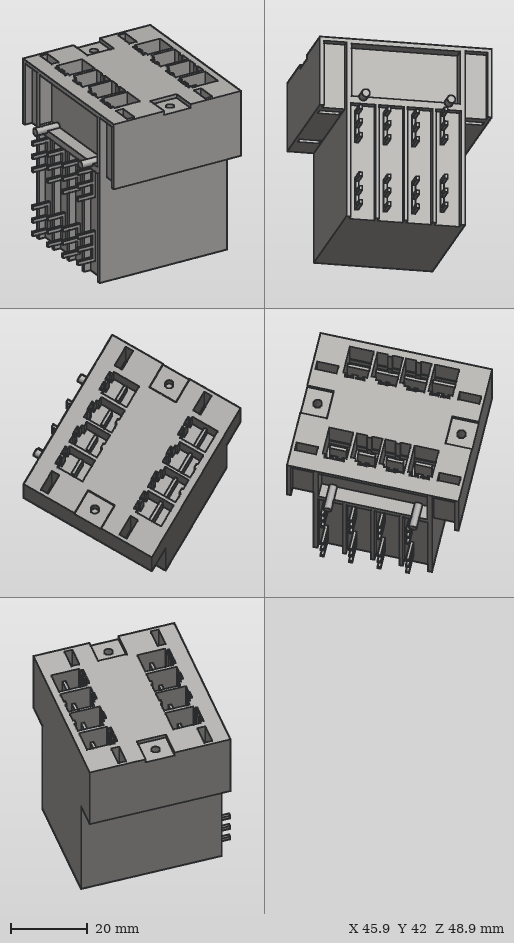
import cadquery as cq

HEIGHT = 48.9
HEAD_WIDTH = 45.85
HEAD_HEIGHT = 18.8
BODY_WIDTH = 31.7
DEPTH = 38.7
FRONT = -DEPTH / 2
REAR = DEPTH / 2
HEAD_BOTTOM = HEIGHT - HEAD_HEIGHT

POLE_COUNT = 4
OUTER_POLE_SPACING = 22.8
POLE_PITCH = OUTER_POLE_SPACING / (POLE_COUNT - 1)
POLE_CENTRES = [i * POLE_PITCH - OUTER_POLE_SPACING / 2 for i in range(POLE_COUNT)]
INNER_POLES = (1, 2)
RAISED_POLE = 3
RAISED_POLE_LIFT = 1.1

WING_WALL = 1.1
WING_RECESS_DEPTH = 2.15
WINDOW_WALL = 1.3
WINDOW_HEIGHT = 14.43
WINDOW_DEPTH = 3.7
WINDOW_FLOOR = HEIGHT - WINDOW_WALL - WINDOW_HEIGHT
CHANNEL_WIDTH = 6.65
CHANNEL_TOP = 31.25
CHANNEL_DEPTH = 1.9

PROTRUSION = 3.25
PEG_DIAMETER = 2.1
PIN_THICKNESS = 0.9
PIN_HEIGHT = 1.05
PIN_PITCH = 3.8
PINS_PER_COMB = 3
COMB_OFFSET = -1.35
COMB_BASE_HEIGHT = 0.8
UPPER_COMB_Z = 25.45
COMB_SPACING = 18.5
COMB_CENTRES_Z = [UPPER_COMB_Z, UPPER_COMB_Z - COMB_SPACING]

ROW_COUNT = 2
ROW_SPACING = 23.65

LUG_LENGTH = 7.95
LUG_STEP = 1.1
LUG_HOLE_DIAMETER = 2.25
LUG_HOLE_DEPTH = 5.85
LUG_HOLE_INSET = 3.7
SLOT_LENGTH = 5.7
SLOT_WIDTH = 2.2
SLOT_INSET = 3.85
REAR_SLOT_INSET = 9.25

SOCKET_INSET = 2.05
SOCKET_DEPTH = 9.8
LEDGE_DEPTH = 7.8
LEDGE_WIDTH = 0.25
OUTER_SOCKET_WIDTH = 6.45
OUTER_SOCKET_LENGTH = 7.65
INNER_SOCKET_WIDTH = 6.85
KEY_LENGTH = 7.7
KEY_LEFT = 2.05
KEY_RIGHT = 1.6
LEFT_SHOULDER = 7.05
RIGHT_SHOULDER = 8.3
RIB_WIDTH = 1.25
RIB_HEIGHT = 0.45
NECK_WIDTH = 1.25
FOOT_WIDTH = 2.35
FOOT_START = 8.1
FOOT_END = 8.55
OUTER_FOOT_SPACING = 2.95

BLADE_INSET = 3.45
BLADE_TOP_DEPTH = 4.1
REAR_BLADE_WIDTH = 6.0
FRONT_BLADE_WIDTH = 4.5


def box(x_range, y_range, z_range):
    """Axis-aligned box between two limits on each axis."""
    (x0, x1), (y0, y1), (z0, z1) = x_range, y_range, z_range
    return cq.Workplane("XY").box(x1 - x0, y1 - y0, z1 - z0, centered=False).translate((x0, y0, z0))


def around(centre, size):
    """Limits of a length centred on a point."""
    return (centre - size / 2, centre + size / 2)


def housing():
    head = box(around(0, HEAD_WIDTH), (FRONT, REAR), (HEAD_BOTTOM, HEIGHT))
    return head.union(box(around(0, BODY_WIDTH), (FRONT, REAR), (0, HEIGHT)))


def front_recesses():
    window_z = (WINDOW_FLOOR, WINDOW_FLOOR + WINDOW_HEIGHT)
    window_width = BODY_WIDTH - 2 * WINDOW_WALL
    cuts = box(around(0, window_width), (FRONT, FRONT + WINDOW_DEPTH), window_z)
    for side in (-1, 1):
        limits = sorted((side * BODY_WIDTH / 2, side * (HEAD_WIDTH / 2 - WING_WALL)))
        wing_z = (HEAD_BOTTOM, HEIGHT - WING_WALL)
        cuts = cuts.add(box(limits, (FRONT, FRONT + WING_RECESS_DEPTH), wing_z))
    for x in POLE_CENTRES:
        cuts = cuts.add(box(around(x, CHANNEL_WIDTH), (FRONT, FRONT + CHANNEL_DEPTH), (0, CHANNEL_TOP)))
    return cuts.combine()


def wing_cuts():
    """Stepped lug with a screw hole, and two through slots, in each wing."""
    cuts = cq.Workplane("XY")
    for side in (-1, 1):
        edge = side * HEAD_WIDTH / 2
        lug_x = sorted((edge, side * BODY_WIDTH / 2))
        cuts = cuts.add(box(lug_x, around(0, LUG_LENGTH), (HEIGHT - LUG_STEP, HEIGHT)))
        hole = cq.Workplane("XY").circle(LUG_HOLE_DIAMETER / 2).extrude(LUG_HOLE_DEPTH)
        cuts = cuts.add(hole.translate((edge - side * LUG_HOLE_INSET, 0, HEIGHT - LUG_HOLE_DEPTH)))
        for row in range(ROW_COUNT):
            slot_y = REAR - REAR_SLOT_INSET - row * ROW_SPACING
            slot_x = edge - side * SLOT_INSET
            cuts = cuts.add(
                box(around(slot_x, SLOT_LENGTH), around(slot_y, SLOT_WIDTH), (HEAD_BOTTOM, HEIGHT))
            )
    return cuts.combine()


def socket_prism(x_range, y_range):
    """Full-depth socket cut, hung below Z = 0 with its rear wall on Y = 0."""
    return box(x_range, y_range, (-SOCKET_DEPTH, 0))


def t_key(x, neck_start):
    """T-shaped keyway on the front side of a socket."""
    neck = socket_prism(around(x, NECK_WIDTH), (-FOOT_END, -neck_start))
    return neck.union(socket_prism(around(x, FOOT_WIDTH), (-FOOT_END, -FOOT_START)))


def rear_ledge(width):
    """Low step along the foot of a socket's rear wall."""
    return box(around(0, width), (-LEDGE_WIDTH, 0), (-SOCKET_DEPTH, -LEDGE_DEPTH))


def outer_socket():
    socket = socket_prism(around(0, OUTER_SOCKET_WIDTH), (-OUTER_SOCKET_LENGTH, 0))
    for side in (-1, 1):
        socket = socket.union(t_key(side * OUTER_FOOT_SPACING / 2, OUTER_SOCKET_LENGTH))
    return socket.cut(rear_ledge(OUTER_SOCKET_WIDTH))


def inner_socket():
    half = INNER_SOCKET_WIDTH / 2
    socket = socket_prism((-half, half), (-LEFT_SHOULDER, 0))
    socket = socket.union(socket_prism((-KEY_LEFT, half), (-KEY_LENGTH, 0)))
    socket = socket.union(socket_prism((KEY_RIGHT, half), (-RIGHT_SHOULDER, 0)))
    socket = socket.union(t_key(0, KEY_LENGTH))
    socket = socket.cut(socket_prism(around(0, RIB_WIDTH), (-RIB_HEIGHT, 0)))
    rib_ledge = rear_ledge(RIB_WIDTH).translate((0, -RIB_HEIGHT, 0))
    return socket.cut(rear_ledge(INNER_SOCKET_WIDTH)).cut(rib_ledge)


def lift(pole):
    """Height by which a pole's contacts are raised."""
    return RAISED_POLE_LIFT if pole == RAISED_POLE else 0


def sockets_with_blades():
    """Socket cuts of both rows, leaving a contact blade standing in each."""
    outer = outer_socket()
    inner = inner_socket()
    cuts = cq.Workplane("XY")
    for row, blade_width in enumerate((REAR_BLADE_WIDTH, FRONT_BLADE_WIDTH)):
        rear_wall = REAR - SOCKET_INSET - row * ROW_SPACING
        for pole, x in enumerate(POLE_CENTRES):
            shape = inner if pole in INNER_POLES else outer
            blade = box(
                around(0, blade_width),
                around(-BLADE_INSET, PIN_THICKNESS),
                (-SOCKET_DEPTH, lift(pole) - BLADE_TOP_DEPTH),
            )
            cuts = cuts.add(shape.cut(blade).translate((x, rear_wall, HEIGHT)))
    return cuts.combine()


def pegs():
    """Round locating pegs in line with the outer poles, from the window's back wall."""
    return (
        cq.Workplane("XZ", origin=(0, FRONT + WINDOW_DEPTH, WINDOW_FLOOR))
        .pushPoints([(POLE_CENTRES[0], 0), (POLE_CENTRES[-1], 0)])
        .circle(PEG_DIAMETER / 2)
        .extrude(WINDOW_DEPTH + PROTRUSION)
    )


def contact_comb():
    """Three pins on a common base, rising toward -Y from a channel floor at Y = 0."""
    x_range = around(0, PIN_THICKNESS)
    span = (PINS_PER_COMB - 1) * PIN_PITCH
    comb = box(x_range, (-COMB_BASE_HEIGHT, 0), around(0, span + PIN_HEIGHT))
    for i in range(PINS_PER_COMB):
        pin_z = around(i * PIN_PITCH - span / 2, PIN_HEIGHT)
        comb = comb.union(box(x_range, (-CHANNEL_DEPTH - PROTRUSION, 0), pin_z))
    return comb


def contact_combs():
    comb = contact_comb()
    combs = cq.Workplane("XY")
    for pole, x in enumerate(POLE_CENTRES):
        for z in COMB_CENTRES_Z:
            position = (x + COMB_OFFSET, FRONT + CHANNEL_DEPTH, z + lift(pole))
            combs = combs.add(comb.translate(position))
    return combs.combine()


result = (
    housing()
    .cut(front_recesses())
    .cut(wing_cuts())
    .cut(sockets_with_blades())
    .union(pegs())
    .union(contact_combs())
)